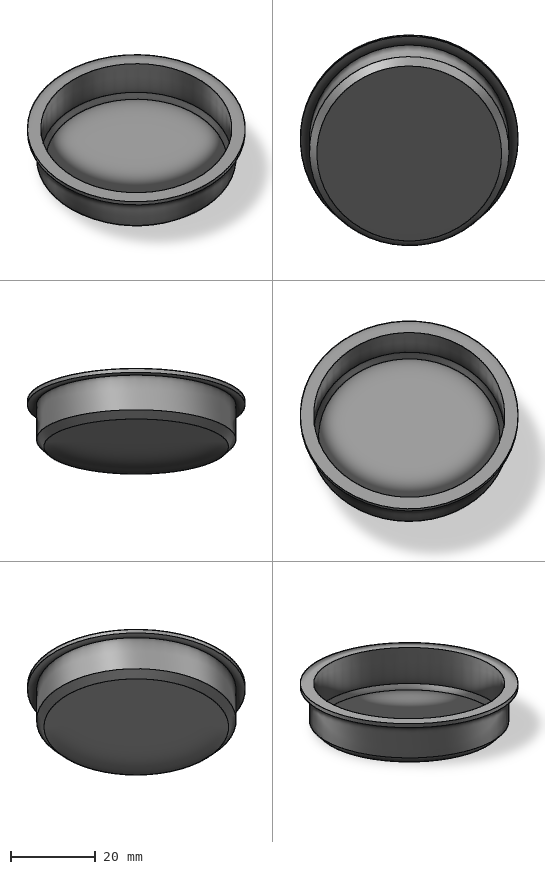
import cadquery as cq
import math

flange_diameter = 51.3
cup_diameter = 47.0
bore_diameter = 45.0
total_height = 11.3
outer_chamfer = 1.75

thickness = (cup_diameter - bore_diameter) / 2
inner_chamfer = outer_chamfer - thickness * (2 - math.sqrt(2))


def make_cup():
    """Solid cup with a chamfered bottom edge, standing on Z = 0."""
    cup = cq.Workplane("XY").circle(cup_diameter / 2).extrude(total_height)
    return cup.faces("<Z").edges().chamfer(outer_chamfer)


def make_flange():
    """Thin disc flush with the top of the cup."""
    flange_bottom = total_height - thickness
    return cq.Workplane("XY").workplane(offset=flange_bottom).circle(flange_diameter / 2).extrude(thickness)


def make_cavity():
    """Inside volume, open at the top, with a chamfer around the floor."""
    floor = cq.Workplane("XY").workplane(offset=thickness)
    cavity = floor.circle(bore_diameter / 2).extrude(total_height - thickness)
    return cavity.faces("<Z").edges().chamfer(inner_chamfer)


result = make_cup().union(make_flange()).cut(make_cavity())